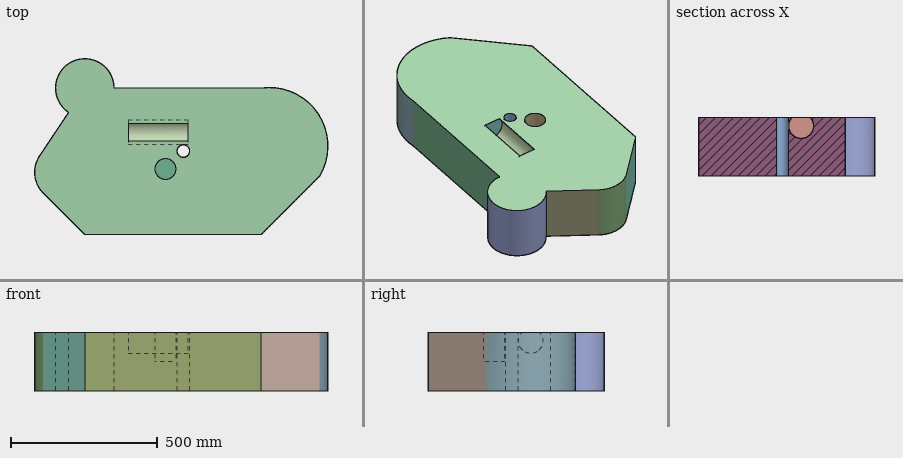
import cadquery as cq
import math

LENGTH = 999.0
THICKNESS = 200.0
SHOULDER_HEIGHT = 499.0

TAIL_RADIUS = 100.0
CHAMFER = 200.0
TAIL_RISE = SHOULDER_HEIGHT - CHAMFER

LOBE_RADIUS = 100.0

NOSE_RADIUS = 200.0

THROUGH_DIAMETER = 42.0
THROUGH_CENTER = (506.0, 285.0)
BLIND_DIAMETER = 71.0
BLIND_CENTER = (445.0, 224.0)
BLIND_DEPTH = 100.0

CAVITY_START_X = 321.0
CAVITY_LENGTH = 202.0
CAVITY_CENTER_Y = 349.0
CAVITY_MOUTH_WIDTH = 60.0
CAVITY_RADIUS = 42.0

tail_angle = math.radians(45) + math.atan2(TAIL_RISE, CHAMFER)
tail_setback = TAIL_RADIUS / math.tan(tail_angle / 2)
tail_corner_x = TAIL_RADIUS * (1 - math.sqrt(0.5)) - tail_setback * math.sqrt(0.5)
left_x = tail_corner_x + CHAMFER

nose_chord = math.hypot(CHAMFER, TAIL_RISE)
nose_chord_offset = math.sqrt(NOSE_RADIUS**2 - (nose_chord / 2)**2)
nose_center_x = LENGTH - NOSE_RADIUS
chord_middle_x = nose_center_x + nose_chord_offset * TAIL_RISE / nose_chord
nose_top_x = chord_middle_x - CHAMFER / 2
nose_center_y = (SHOULDER_HEIGHT + CHAMFER) / 2 - nose_chord_offset * CHAMFER / nose_chord
nose_tip = (LENGTH, nose_center_y)


def make_plate():
    plate = (
        cq.Workplane("XY")
        .moveTo(left_x, 0)
        .lineTo(nose_top_x, 0)
        .lineTo(nose_top_x + CHAMFER, CHAMFER)
        .threePointArc(nose_tip, (nose_top_x, SHOULDER_HEIGHT))
        .lineTo(left_x, SHOULDER_HEIGHT)
        .lineTo(tail_corner_x, CHAMFER)
        .close()
        .extrude(THICKNESS)
    )
    plate = plate.edges("|Z and <X").fillet(TAIL_RADIUS)
    lobe = (
        cq.Workplane("XY")
        .center(left_x, SHOULDER_HEIGHT)
        .circle(LOBE_RADIUS)
        .extrude(THICKNESS)
    )
    return plate.union(lobe)


def make_hole(center, diameter, depth):
    return (
        cq.Workplane("XY", origin=(0, 0, THICKNESS))
        .center(*center)
        .circle(diameter / 2)
        .extrude(-depth)
    )


def make_cavity():
    axis_depth = math.sqrt(CAVITY_RADIUS**2 - (CAVITY_MOUTH_WIDTH / 2)**2)
    axis_start = (CAVITY_START_X, CAVITY_CENTER_Y, THICKNESS - axis_depth)
    return cq.Workplane("YZ", origin=axis_start).circle(CAVITY_RADIUS).extrude(CAVITY_LENGTH)


result = (
    make_plate()
    .cut(make_hole(THROUGH_CENTER, THROUGH_DIAMETER, THICKNESS))
    .cut(make_hole(BLIND_CENTER, BLIND_DIAMETER, BLIND_DEPTH))
    .cut(make_cavity())
)